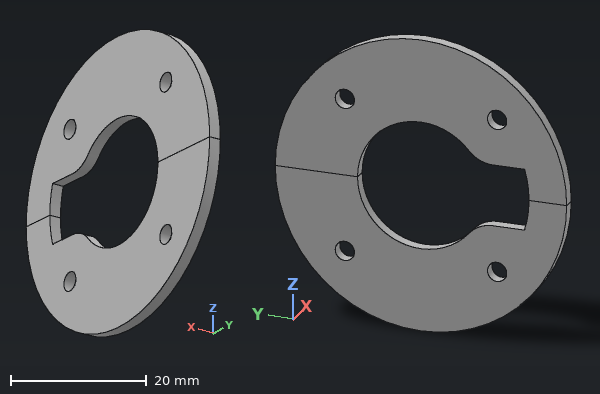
import cadquery as cq
import math

outer_radius = 23.0
thickness = 2.0
bore_radius = 10.0

slot_half_width = 4.8
slot_end_radius = 17.0
blend_radius = 5.0

hole_diameter = 3.0
hole_offset = 12.0


def half_outline():
    """Outline of the upper half plate, drawn in the YZ plane."""
    blend_z = slot_half_width + blend_radius
    blend_reach = bore_radius + blend_radius
    blend_y = -math.sqrt(blend_reach**2 - blend_z**2)
    bore_tangent_y = blend_y * bore_radius / blend_reach
    bore_tangent_z = blend_z * bore_radius / blend_reach

    wall_direction = -math.pi / 2
    bore_direction = math.atan2(-blend_z, -blend_y)
    blend_middle = (wall_direction + bore_direction) / 2
    blend_middle_y = blend_y + blend_radius * math.cos(blend_middle)
    blend_middle_z = blend_z + blend_radius * math.sin(blend_middle)

    slot_end_y = -math.sqrt(slot_end_radius**2 - slot_half_width**2)
    slot_end_middle = math.asin(slot_half_width / slot_end_radius) / 2
    slot_end_middle_y = -slot_end_radius * math.cos(slot_end_middle)
    slot_end_middle_z = slot_end_radius * math.sin(slot_end_middle)

    return (
        cq.Workplane("YZ", origin=(-thickness / 2, 0, 0))
        .moveTo(outer_radius, 0)
        .threePointArc((0, outer_radius), (-outer_radius, 0))
        .lineTo(-slot_end_radius, 0)
        .threePointArc((slot_end_middle_y, slot_end_middle_z), (slot_end_y, slot_half_width))
        .lineTo(blend_y, slot_half_width)
        .threePointArc((blend_middle_y, blend_middle_z), (bore_tangent_y, bore_tangent_z))
        .threePointArc((0, bore_radius), (bore_radius, 0))
        .close()
    )


def hole_cutters():
    """Cylinders for the two through holes of the upper half plate."""
    return (
        cq.Workplane("YZ", origin=(-thickness / 2, 0, 0))
        .pushPoints([(-hole_offset, hole_offset), (hole_offset, hole_offset)])
        .circle(hole_diameter / 2)
        .extrude(thickness)
    )


def half_plate(side):
    """One half plate: side +1 lies above the split plane, -1 below it."""
    plate = half_outline().extrude(thickness).cut(hole_cutters())
    return plate if side > 0 else plate.mirror("XY")


half_plates = [half_plate(side) for side in (1, -1)]

result = cq.Compound.makeCompound([plate.val() for plate in half_plates])